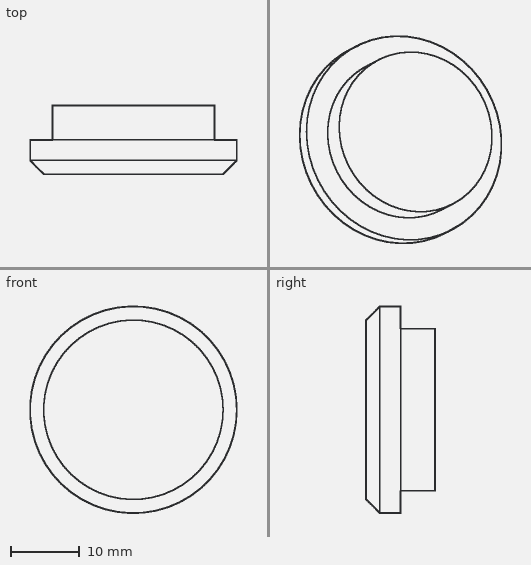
import cadquery as cq

head_diameter = 30.0
head_thickness = 5.0
head_chamfer = 2.0
spigot_diameter = 23.5
total_length = 10.0

spigot_length = total_length - head_thickness
front_y = -total_length / 2
shoulder_y = front_y + head_thickness


def cylinder_along_y(diameter, length, start_y):
    """Solid cylinder on the Y axis, running from start_y toward +Y."""
    start_plane = cq.Plane(origin=(0, start_y, 0), xDir=(1, 0, 0), normal=(0, 1, 0))
    return cq.Workplane(start_plane).circle(diameter / 2).extrude(length)


def make_head():
    """Wide disc with its front rim chamfered at 45 degrees."""
    disc = cylinder_along_y(head_diameter, head_thickness, front_y)
    return disc.faces("<Y").edges().chamfer(head_chamfer)


def make_spigot():
    """Narrower cylinder behind the shoulder of the head."""
    return cylinder_along_y(spigot_diameter, spigot_length, shoulder_y)


result = make_head().union(make_spigot())